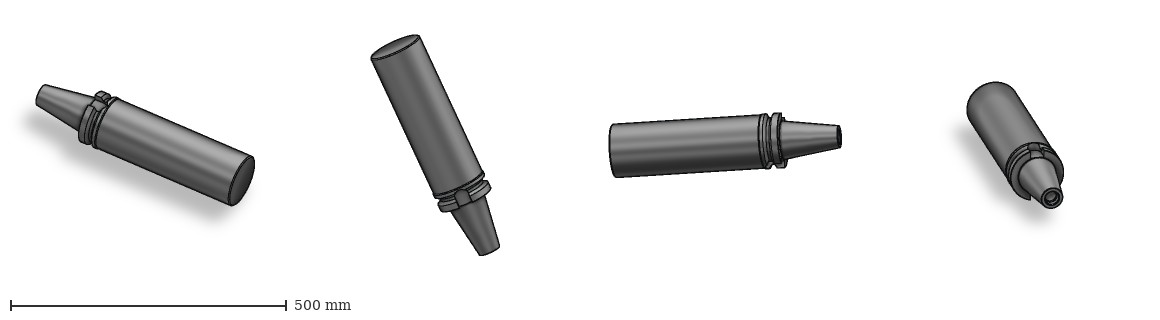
import cadquery as cq
import math

total_length = 417.0
flange_radius = 50.0
body_radius = 48.8
body_end_chamfer = 2.0

taper_length = 101.5
taper_large_radius = 35.0
taper_slope = 7 / 24 / 2
taper_small_radius = taper_large_radius - taper_length * taper_slope
small_end_chamfer = 1.0
neck_radius = taper_large_radius
neck_flare = 1.0

flange_start = 104.5
flange_end = 141.0
groove_root_radius = 42.5
groove_start = 117.5
groove_root_start = 122.0
groove_root_end = 127.5
groove_end = 132.5
flange_face_chamfer = 1.0
flange_rear_chamfer = 2.0

slot_width = 26.0
slot_floor_height = 35.5
slot_end = 136.5

pilot_radius = 12.5
pilot_depth = 11.0
mouth_chamfer = 1.5
thread_radius = 10.5
thread_chamfer = 1.5
thread_depth = 66.5
drill_tip_angle = 118
drill_tip_length = thread_radius / math.tan(math.radians(drill_tip_angle / 2))


def revolve_about_x(points):
    """Solid of revolution about X from (x, radius) points that start and end on the axis."""
    return cq.Workplane("XZ").polyline(points).close().revolve(360, (0, 0, 0), (1, 0, 0))


def make_holder():
    return revolve_about_x([
        (0, 0),
        (0, taper_small_radius - small_end_chamfer),
        (small_end_chamfer, taper_small_radius + small_end_chamfer * taper_slope),
        (taper_length, taper_large_radius),
        (flange_start - neck_flare, neck_radius),
        (flange_start, neck_radius + neck_flare),
        (flange_start, flange_radius - flange_face_chamfer),
        (flange_start + flange_face_chamfer, flange_radius),
        (groove_start, flange_radius),
        (groove_root_start, groove_root_radius),
        (groove_root_end, groove_root_radius),
        (groove_end, flange_radius),
        (flange_end - flange_rear_chamfer, flange_radius),
        (flange_end, body_radius),
        (total_length - body_end_chamfer, body_radius),
        (total_length, body_radius - body_end_chamfer),
        (total_length, 0),
    ])


def make_drawbar_hole():
    return revolve_about_x([
        (0, 0),
        (0, pilot_radius + mouth_chamfer),
        (mouth_chamfer, pilot_radius),
        (pilot_depth, pilot_radius),
        (pilot_depth, thread_radius + thread_chamfer),
        (pilot_depth + thread_chamfer, thread_radius),
        (thread_depth, thread_radius),
        (thread_depth + drill_tip_length, 0),
    ])


def make_drive_slot():
    """Round-ended slot on the +Z side, open through the face of the flange."""
    half_width = slot_width / 2
    arc_start = slot_end - half_width
    return (
        cq.Workplane("XY", origin=(0, 0, slot_floor_height))
        .moveTo(taper_length, -half_width)
        .lineTo(arc_start, -half_width)
        .threePointArc((slot_end, 0), (arc_start, half_width))
        .lineTo(taper_length, half_width)
        .close()
        .extrude(flange_radius - slot_floor_height)
    )


result = make_holder().cut(make_drawbar_hole())
upper_slot = make_drive_slot()
for drive_slot in (upper_slot, upper_slot.mirror("XY")):
    result = result.cut(drive_slot)